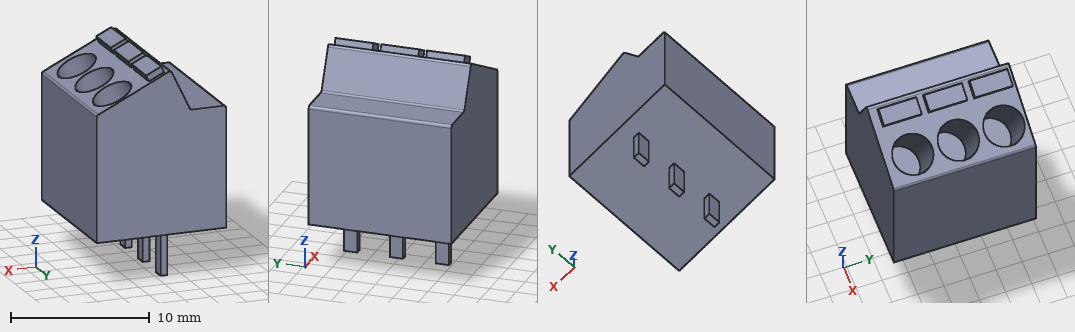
import cadquery as cq
import math


pole_count = 3
pitch = 3.5
pole_positions = [(i - (pole_count - 1) / 2) * pitch for i in range(pole_count)]

housing_length = 10.0
back_margin = 1.78
housing_width = 10.9
step_height = 9.25
step_length = 2.77
far_height = 9.65
tilt = 25.7
edge_radius = 0.21

hole_diameter = 3.02
hole_depth = 6.47
hole_distance = 4.27

button_length = 1.3
button_width = 2.9
button_height = 0.52
button_distance = 0.44

pin_length = 3.5
pin_thickness = 0.52
pin_width = 1.0
pin_x = 4.32

sin_tilt = math.sin(math.radians(tilt))
cos_tilt = math.cos(math.radians(tilt))
foot_to_far_x = housing_length - step_length
foot_to_far_z = far_height - step_height
rise_length = foot_to_far_x * sin_tilt + foot_to_far_z * cos_tilt
ridge_x = step_length + rise_length * sin_tilt
ridge_z = step_height + rise_length * cos_tilt


def entry_face_plane(y):
    """Plane on the entry face: origin on the ridge, x down the slope, z outward."""
    return cq.Plane(
        origin=(ridge_x, y, ridge_z),
        xDir=(cos_tilt, 0, -sin_tilt),
        normal=(sin_tilt, 0, cos_tilt),
    )


def make_hole(y):
    return (
        cq.Workplane(entry_face_plane(y))
        .center(hole_distance, 0)
        .circle(hole_diameter / 2)
        .extrude(-hole_depth)
    )


def make_housing():
    profile = [
        (0, 0),
        (0, step_height),
        (step_length, step_height),
        (ridge_x, ridge_z),
        (housing_length, far_height),
        (housing_length, 0),
    ]
    back_y = pole_positions[-1] + back_margin
    body = (
        cq.Workplane("XZ", origin=(0, back_y, 0))
        .polyline(profile)
        .close()
        .extrude(housing_width)
    )
    upper_edges = cq.selectors.BoxSelector(
        (-0.16, -housing_width, step_height / 2),
        (housing_length + 0.16, housing_width, ridge_z + 0.16),
    )
    body = body.edges("|Y").edges(upper_edges).fillet(edge_radius)
    for y in pole_positions:
        body = body.cut(make_hole(y))
    return body


def make_button(y):
    return (
        cq.Workplane(entry_face_plane(y))
        .center(button_distance + button_length / 2, 0)
        .rect(button_length, button_width)
        .extrude(button_height)
    )


def make_pin(y):
    return (
        cq.Workplane("XY")
        .center(pin_x, y)
        .rect(pin_thickness, pin_width)
        .extrude(-pin_length)
    )


housing = make_housing()
buttons = [make_button(y).val() for y in pole_positions]
pins = [make_pin(y).val() for y in pole_positions]

result = cq.Compound.makeCompound([housing.val(), *buttons, *pins])